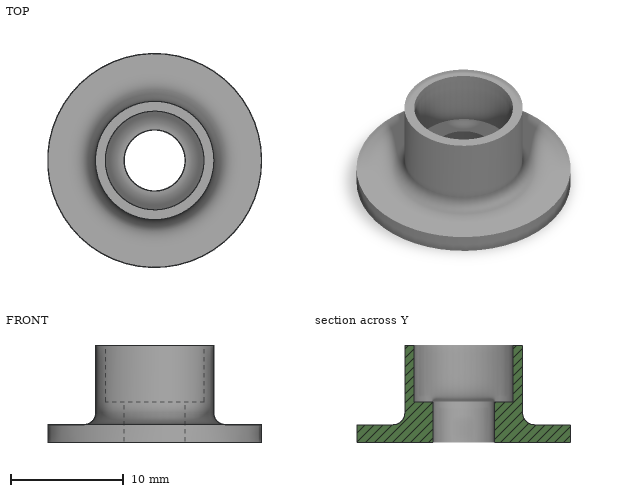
import cadquery as cq

flange_diameter = 19.0
flange_thickness = 1.6

total_height = 8.6
hub_diameter = 10.5
hub_fillet_radius = 1.0

bore_diameter = 8.75
bore_depth = 5.0
through_hole_diameter = 5.4


def flanged_hub():
    """Round flange and hub, blended by a fillet around the hub's foot."""
    flange = cq.Workplane("XY").circle(flange_diameter / 2).extrude(flange_thickness)
    body = flange.faces(">Z").workplane().circle(hub_diameter / 2).extrude(total_height - flange_thickness)
    foot_edge = cq.selectors.RadiusNthSelector(0)
    return body.faces("<Z[1]").edges(foot_edge).fillet(hub_fillet_radius)


def cut_stepped_bore(body):
    """Counterbored hole down the axis, entered from the top of the hub."""
    return body.faces(">Z").workplane().cboreHole(through_hole_diameter, bore_diameter, bore_depth)


result = cut_stepped_bore(flanged_hub())